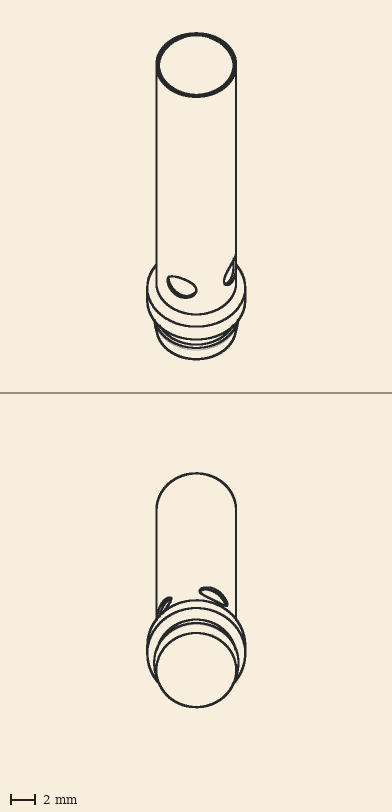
import cadquery as cq

TOTAL_HEIGHT = 35.0
BARB_CURVE_TOP = 1.47
BARB_BAND_TOP = 1.75
BARB_TOP = 1.95
COLLAR_BOTTOM = 2.95
COLLAR_TOP = 6.0
COLLAR_BEVEL_HEIGHT = 0.65

TUBE_DIAMETER = 6.45
CORE_DIAMETER = 6.02
COLLAR_DIAMETER = 7.9
BARB_DIAMETER = 6.8

RIM_BEVEL = 0.1

BARB_FLANK_BULGE = 0.05

WINDOW_DIAMETER = 2.52
WINDOW_HEIGHT = 9.25

tube_radius = TUBE_DIAMETER / 2
core_radius = CORE_DIAMETER / 2
collar_radius = COLLAR_DIAMETER / 2
barb_radius = BARB_DIAMETER / 2
core_bottom = COLLAR_TOP
bevel_bottom = TOTAL_HEIGHT - RIM_BEVEL


def make_core():
    """Solid core filling the blind bore and flush with the top of the tube."""
    return (
        cq.Workplane("XY")
        .workplane(offset=core_bottom)
        .circle(core_radius)
        .extrude(TOTAL_HEIGHT - core_bottom)
    )


def cut_windows(body):
    """Cut the four windows, as two crossing bars, one along X and one along Y."""
    for plane in ("XZ", "YZ"):
        bar = (
            cq.Workplane(plane)
            .center(0, WINDOW_HEIGHT)
            .circle(WINDOW_DIAMETER / 2)
            .extrude(TUBE_DIAMETER, both=True)
        )
        body = body.cut(bar)
    return body


def make_housing():
    """Turned housing: barbed foot, neck, double-bevelled collar and windowed tube with a blind bore."""
    flank_middle = ((tube_radius + barb_radius) / 2 + BARB_FLANK_BULGE, BARB_CURVE_TOP / 2)
    profile = (
        cq.Workplane("XZ")
        .lineTo(tube_radius, 0)
        .threePointArc(flank_middle, (barb_radius, BARB_CURVE_TOP))
        .lineTo(barb_radius, BARB_BAND_TOP)
        .lineTo(tube_radius, BARB_TOP)
        .lineTo(tube_radius, COLLAR_BOTTOM)
        .lineTo(collar_radius, COLLAR_BOTTOM + COLLAR_BEVEL_HEIGHT)
        .lineTo(collar_radius, COLLAR_TOP - COLLAR_BEVEL_HEIGHT)
        .lineTo(tube_radius, COLLAR_TOP)
        .lineTo(tube_radius, TOTAL_HEIGHT)
        .lineTo(core_radius + RIM_BEVEL, TOTAL_HEIGHT)
        .lineTo(core_radius, bevel_bottom)
        .lineTo(core_radius, core_bottom)
        .lineTo(0, core_bottom)
        .close()
    )
    return cut_windows(profile.revolve(360, (0, 0, 0), (0, 1, 0)))


housing = make_housing()
core = make_core()

result = cq.Compound.makeCompound([housing.val(), core.val()])